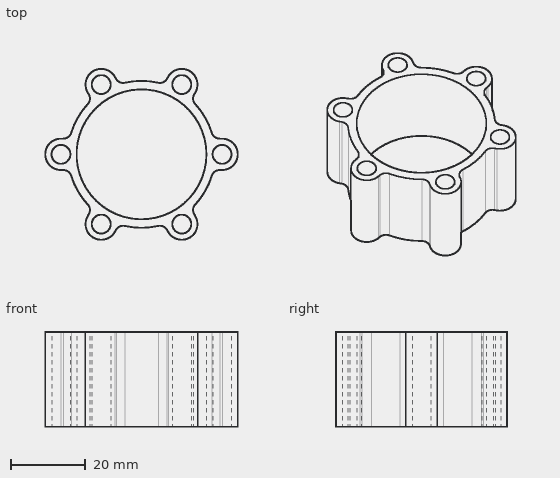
import cadquery as cq

outer_width = 51.55
height = 25.4
bore_diameter = 34.7
body_diameter = 39.4
lug_diameter = 8.45
bolt_hole_diameter = 5.0
blend_radius = 2.15
lug_count = 6

lug_radius = lug_diameter / 2
bolt_circle_radius = outer_width / 2 - lug_radius
lug_angles = [i * 360 / lug_count for i in range(lug_count)]


def make_lug(angle):
    """Straight-sided lug with a round end, reaching out from the axis."""
    arm = (
        cq.Workplane("XY")
        .center(bolt_circle_radius / 2, 0)
        .rect(bolt_circle_radius, lug_diameter)
        .extrude(height)
    )
    end = cq.Workplane("XY").center(bolt_circle_radius, 0).circle(lug_radius).extrude(height)
    return arm.union(end).rotate((0, 0, 0), (0, 0, 1), angle)


body = cq.Workplane("XY").circle(body_diameter / 2).extrude(height)
for lug_angle in lug_angles:
    body = body.union(make_lug(lug_angle))

corner_reach = body_diameter / 2 + 0.05
corners = [
    edge
    for edge in body.edges("|Z").vals()
    if edge.Center().x ** 2 + edge.Center().y ** 2 < corner_reach ** 2
]
body = body.newObject(corners).fillet(blend_radius)

bore = cq.Workplane("XY").circle(bore_diameter / 2).extrude(height)
bolt_holes = (
    cq.Workplane("XY")
    .polarArray(bolt_circle_radius, 0, 360, lug_count)
    .circle(bolt_hole_diameter / 2)
    .extrude(height)
)
result = body.cut(bore).cut(bolt_holes)